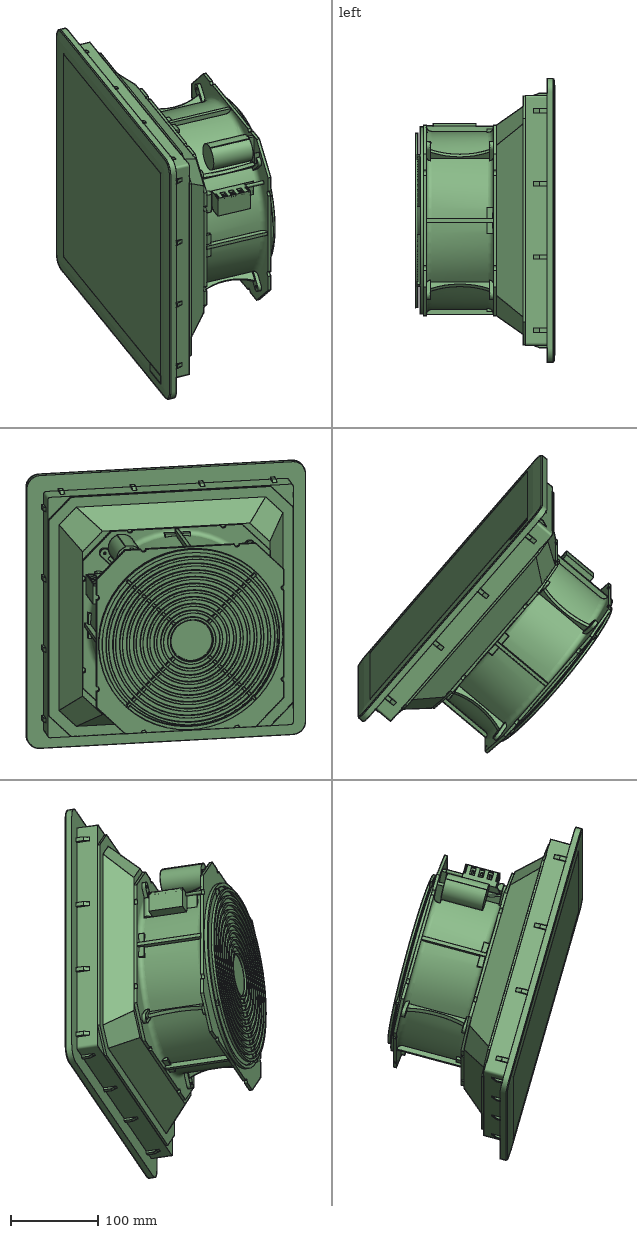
import cadquery as cq
import math


FLANGE_SIZE = 325.0
FLANGE_RADIUS = 15.0
FLANGE_BACK = 9.4
FLANGE_EDGE = 1.2
BEVEL_RISE = 1.2
FACE_SIZE = 298.0
FACE_RADIUS = 1.0
BOX_SIZE = 286.4
BOX_RADIUS = 3.0
BOX_BACK = 34.2
RIM_SIZE = 285.0
RIM_CHAMFER = 26.0
RIM_BACK = 36.8
FUNNEL_BASE_SIZE = 261.0
FUNNEL_BASE_CHAMFER = 20.0
FUNNEL_TOP_CHAMFER = 23.3

CLIP_WIDTH = 4.9
CLIP_HEIGHT = 2.6
CLIP_SHOULDER = 18.0
CLIP_END = 24.7
CLIP_ROOT = 1.0
CLIP_X = (-123.8, -39.7, 39.7, 123.8)
CLIP_Z = (-125.6, -41.9, 41.9, 125.6)

PANEL_SIZE_X = 277.4
PANEL_SIZE_Z = 275.4
PANEL_DEPTH = 5.0
RECESS_SIZE_X = 30.7
RECESS_SIZE_Z = 10.8
RECESS_DEPTH = 0.5

PLATE_SIZE = 218.4
PLATE_CHAMFER = 33.0
PLATE_THICKNESS = 3.5
FRONT_PLATE = 67.2
REAR_PLATE = 147.4
FAN_FRONT = FRONT_PLATE + PLATE_THICKNESS
FAN_BACK = REAR_PLATE + PLATE_THICKNESS
BARREL_RADIUS = 102.0
FLARE_RADIUS = 6.0
OVERLAP = 5.0
RIB_WIDTH = 4.2
RIB_REACH = 107.8
WEB_REACH = 115.0
WEB_WAIST = 105.0
LUG_CENTRE = 119.9
LUG_RADIUS = 5.5
LUG_THICKNESS = 4.4
LUG_HOLE = 3.0
NOTCH_PLACE = 54.5
NOTCH_DIAMETER = 6.0
PAD_WIDTH = 29.6
PAD_DEPTH = 7.1
PAD_REACH = 104.5

CAP_RADIUS = 15.5
CAP_X = 68.4
CAP_Z = 95.6
CAP_FRONT = 90.5
CAP_BACK = 139.6
SEAM_WIDTH = 5.2
SEAM_TOP = CAP_Z + CAP_RADIUS
CHEEK_LEFT = 46.4
CHEEK_BOTTOM = 85.0
CHEEK_TOP_LEFT = 65.0
CHEEK_TOP = 108.5
FOOT_LEFT = 73.6
FOOT_RIGHT = 84.5
FOOT_TOP = 97.0
FOOT_SLOPE = 15.0
FOOT_DEPTH = 6.0

BLOCK_LEFT = 91.0
BLOCK_RIGHT = 108.5
BLOCK_BOTTOM = 40.0
BLOCK_TOP = 64.0
BLOCK_FRONT = 84.9
BLOCK_BACK = 125.4
POCKET_SIZE_X = 8.5
POCKET_SIZE_Y = 5.5
POCKET_PITCH = 10.3
POCKET_DEPTH = 3.0
POCKET_MARGIN = 1.5
SCREW_SLOT_X = 3.6
SCREW_SLOT_Y = 2.3
SCREW_SLOT_DEPTH = 8.0
END_GROOVE = 1.0
END_GROOVE_INSET = 1.2
BRACKET_LEFT = 86.5
BRACKET_FRONT = 80.0
BRACKET_BACK = 137.0
BRACKET_FALL = 8.0
GROMMET_X = 93.0
GROMMET_Y = 78.8
GROMMET_RADIUS = 4.5
CABLE_RADIUS = 2.0
CABLE_Z = 62.0
CABLE_X = 95.0

GUARD_BACK = 160.17
WIRE = 3.0
GUARD_RADIUS = 100.0
RING_PITCH = 8.0
RING_COUNT = 10
BASE_WIRE = 3.8
BASE_RADIUS = 107.3
SPOKE_WIDTH = 3.0
SPOKE_FRONT = 154.0
SPOKE_BACK = 158.0
GUARD_HUB_RADIUS = 24.0


def plane_at(y):
    """XZ plane at height y whose normal points to +Y; local x is -X."""
    return cq.Workplane(cq.Plane((0, y, 0), (-1, 0, 0), (0, 1, 0)))


def square_prism(size, front, back, chamfer=0.0, radius=0.0):
    prism = plane_at(front).rect(size, size).extrude(back - front)
    if chamfer:
        prism = prism.edges("|Y").chamfer(chamfer)
    if radius:
        prism = prism.edges("|Y").fillet(radius)
    return prism


def disc(radius, front, back, x=0.0, z=0.0):
    return plane_at(front).center(-x, z).circle(radius).extrude(back - front)


def block(x0, x1, y0, y1, z0, z1):
    return cq.Workplane("XY").box(x1 - x0, y1 - y0, z1 - z0, centered=False).translate((x0, y0, z0))


def octagon(size, chamfer):
    half = size / 2
    flat = half - chamfer
    return [(half, -flat), (half, flat), (flat, half), (-flat, half),
            (-half, flat), (-half, -flat), (-flat, -half), (flat, -half)]


def turned(shape, angle):
    return shape.rotate((0, 0, 0), (0, 1, 0), angle)


def make_flange():
    body = square_prism(FLANGE_SIZE, BEVEL_RISE, FLANGE_BACK, radius=FLANGE_RADIUS)
    body = body.faces("<Y").edges().chamfer(FLANGE_EDGE)
    inner = FLANGE_SIZE - 2 * FLANGE_EDGE
    bevel = (
        plane_at(BEVEL_RISE)
        .placeSketch(
            cq.Sketch().rect(inner, inner).vertices().fillet(FLANGE_RADIUS - FLANGE_EDGE),
            cq.Sketch().rect(FACE_SIZE, FACE_SIZE).vertices().fillet(FACE_RADIUS)
            .moved(cq.Location(cq.Vector(0, 0, -BEVEL_RISE))),
        )
        .loft()
    )
    return body.union(bevel)


def make_funnel():
    return (
        plane_at(RIM_BACK).polyline(octagon(FUNNEL_BASE_SIZE, FUNNEL_BASE_CHAMFER)).close()
        .workplane(offset=FRONT_PLATE - RIM_BACK)
        .polyline(octagon(PLATE_SIZE, FUNNEL_TOP_CHAMFER)).close()
        .loft(ruled=True)
    )


def make_clip(place):
    """A clip on the top wall at X = place."""
    wall = BOX_SIZE / 2
    root = wall - CLIP_ROOT
    outline = [(FLANGE_BACK, root), (FLANGE_BACK, wall + CLIP_HEIGHT),
               (CLIP_SHOULDER, wall + CLIP_HEIGHT), (CLIP_END, wall), (CLIP_END, root)]
    clip = cq.Workplane("YZ").polyline(outline).close().extrude(CLIP_WIDTH / 2, both=True)
    return clip.translate((place, 0, 0))


def panel_block():
    return block(-PANEL_SIZE_X / 2, PANEL_SIZE_X / 2, 0, PANEL_DEPTH, -PANEL_SIZE_Z / 2, PANEL_SIZE_Z / 2)


def make_housing():
    body = make_flange()
    body = body.union(square_prism(BOX_SIZE, FLANGE_BACK, BOX_BACK, radius=BOX_RADIUS))
    body = body.union(square_prism(RIM_SIZE, BOX_BACK, RIM_BACK, chamfer=RIM_CHAMFER))
    body = body.union(make_funnel())
    for x in CLIP_X:
        body = body.union(make_clip(x)).union(turned(make_clip(x), 180))
    for z in CLIP_Z:
        body = body.union(turned(make_clip(z), 90)).union(turned(make_clip(z), -90))
    right = PANEL_SIZE_X / 2
    bottom = -PANEL_SIZE_Z / 2
    recess = block(right - RECESS_SIZE_X, right, 0, RECESS_DEPTH, bottom - RECESS_SIZE_Z, bottom)
    return body.cut(panel_block()).cut(recess)


def make_plate(front):
    plate = square_prism(PLATE_SIZE, front, front + PLATE_THICKNESS, chamfer=PLATE_CHAMFER)
    for quarter in range(4):
        for side in (-1, 1):
            notch = disc(NOTCH_DIAMETER / 2, front, front + PLATE_THICKNESS,
                         side * NOTCH_PLACE, PLATE_SIZE / 2)
            plate = plate.cut(turned(notch, 90 * quarter))
    return plate


def make_barrel():
    outer = BARREL_RADIUS + FLARE_RADIUS
    bend = FLARE_RADIUS * (1 - math.sqrt(0.5))
    profile = (
        cq.Workplane("XY").moveTo(0, FAN_FRONT).lineTo(outer, FAN_FRONT)
        .threePointArc((BARREL_RADIUS + bend, FAN_FRONT + bend), (BARREL_RADIUS, FAN_FRONT + FLARE_RADIUS))
        .lineTo(BARREL_RADIUS, REAR_PLATE - FLARE_RADIUS)
        .threePointArc((BARREL_RADIUS + bend, REAR_PLATE - bend), (outer, REAR_PLATE))
        .lineTo(0, REAR_PLATE).close()
    )
    return profile.revolve(360, (0, 0, 0), (0, 1, 0))


def make_rib():
    half = RIB_WIDTH / 2
    return block(-half, half, FAN_FRONT, REAR_PLATE, BARREL_RADIUS - OVERLAP, RIB_REACH)


def make_lug(front):
    half = LUG_RADIUS
    lug = block(-half, half, front, front + LUG_THICKNESS, BARREL_RADIUS - OVERLAP, LUG_CENTRE)
    lug = lug.union(disc(LUG_RADIUS, front, front + LUG_THICKNESS, 0, LUG_CENTRE))
    return lug.cut(disc(LUG_HOLE / 2, front, front + LUG_THICKNESS, 0, LUG_CENTRE))


def make_web():
    inner = BARREL_RADIUS - OVERLAP
    middle = (FAN_FRONT + REAR_PLATE) / 2
    web = (
        cq.Workplane("YZ").moveTo(FAN_FRONT, inner).lineTo(FAN_FRONT, WEB_REACH)
        .threePointArc((middle, WEB_WAIST), (REAR_PLATE, WEB_REACH))
        .lineTo(REAR_PLATE, inner).close().extrude(RIB_WIDTH / 2, both=True)
    )
    return web.union(make_lug(FAN_FRONT)).union(make_lug(REAR_PLATE - LUG_THICKNESS))


def make_pad():
    half = PAD_WIDTH / 2
    return block(-half, half, FAN_FRONT, FAN_FRONT + PAD_DEPTH, BARREL_RADIUS - OVERLAP, PAD_REACH)


def make_cap_holder():
    cheek = (
        plane_at(CAP_BACK)
        .polyline([(-CHEEK_LEFT, CHEEK_BOTTOM), (-CHEEK_TOP_LEFT, CHEEK_TOP),
                   (-CAP_X, CHEEK_TOP), (-CAP_X, CHEEK_BOTTOM - OVERLAP)])
        .close().extrude(REAR_PLATE - CAP_BACK)
    )
    foot = (
        plane_at(REAR_PLATE - FOOT_DEPTH)
        .polyline([(-FOOT_LEFT, FOOT_TOP - FOOT_SLOPE), (-FOOT_RIGHT, FOOT_TOP),
                   (-FOOT_RIGHT, FOOT_TOP - FOOT_SLOPE)])
        .close().extrude(FOOT_DEPTH)
    )
    return cheek.union(foot)


def make_fan():
    fan = make_plate(FRONT_PLATE).union(make_plate(REAR_PLATE)).union(make_barrel())
    for quarter in range(4):
        fan = fan.union(turned(make_rib(), 90 * quarter))
        fan = fan.union(turned(make_pad(), 90 * quarter))
        fan = fan.union(turned(make_web(), 45 + 90 * quarter))
    return fan.union(make_cap_holder())


def make_capacitor():
    can = disc(CAP_RADIUS, CAP_FRONT, CAP_BACK, CAP_X, CAP_Z)
    seam = block(CAP_X, CAP_X + SEAM_WIDTH, CAP_FRONT, CAP_BACK, CAP_Z, SEAM_TOP)
    barrel = disc(BARREL_RADIUS, CAP_FRONT, CAP_BACK)
    return can.union(seam).cut(barrel)


def make_cable():
    return disc(CABLE_RADIUS, BLOCK_BACK, REAR_PLATE, CABLE_X, CABLE_Z)


def make_terminal_block():
    body = block(BLOCK_LEFT, BLOCK_RIGHT, BLOCK_FRONT, BLOCK_BACK, BLOCK_BOTTOM, BLOCK_TOP)
    middle = (BLOCK_FRONT + BLOCK_BACK) / 2
    pocket_right = BLOCK_RIGHT - POCKET_MARGIN
    pocket_left = pocket_right - POCKET_SIZE_X
    pocket_x = (pocket_left + pocket_right) / 2
    pocket_floor = BLOCK_TOP - POCKET_DEPTH
    for step in (-1, 0, 1):
        y = middle + step * POCKET_PITCH
        body = body.cut(block(pocket_left, pocket_right, y - POCKET_SIZE_Y / 2, y + POCKET_SIZE_Y / 2,
                              pocket_floor, BLOCK_TOP))
        body = body.cut(block(pocket_x - SCREW_SLOT_X / 2, pocket_x + SCREW_SLOT_X / 2,
                              y - SCREW_SLOT_Y / 2, y + SCREW_SLOT_Y / 2,
                              BLOCK_TOP - SCREW_SLOT_DEPTH, BLOCK_TOP))
    for groove_front in (BLOCK_FRONT + END_GROOVE_INSET, BLOCK_BACK - END_GROOVE_INSET - END_GROOVE):
        body = body.cut(block(pocket_left, pocket_right, groove_front, groove_front + END_GROOVE,
                              pocket_floor, BLOCK_TOP))
    bracket = (
        plane_at(BRACKET_FRONT)
        .polyline([(-BRACKET_LEFT, BLOCK_BOTTOM), (-BRACKET_LEFT, BLOCK_TOP - BRACKET_FALL),
                   (-BLOCK_LEFT, BLOCK_TOP), (-BLOCK_LEFT, BLOCK_BOTTOM)])
        .close().extrude(BRACKET_BACK - BRACKET_FRONT)
    )
    grommet = (
        cq.Workplane("XY").workplane(offset=BLOCK_BOTTOM).center(GROMMET_X, GROMMET_Y)
        .circle(GROMMET_RADIUS).extrude(BLOCK_TOP - BLOCK_BOTTOM)
    )
    return body.union(bracket).union(grommet).union(make_cable()).cut(make_barrel())


def make_ring(outer_radius, wire, back):
    """A ring around the fan axis that ends at Y = back."""
    return disc(outer_radius, back - wire, back).cut(disc(outer_radius - wire, back - wire, back))


def make_guard():
    guard = disc(GUARD_HUB_RADIUS, SPOKE_FRONT, SPOKE_BACK)
    spoke_end = BASE_RADIUS - BASE_WIRE / 2
    spoke = block(-SPOKE_WIDTH / 2, SPOKE_WIDTH / 2, SPOKE_FRONT, SPOKE_BACK, 0, spoke_end)
    for quarter in range(4):
        guard = guard.union(turned(spoke, 45 + 90 * quarter))
    for index in range(RING_COUNT):
        guard = guard.union(make_ring(GUARD_RADIUS - index * RING_PITCH, WIRE, GUARD_BACK))
    return guard.union(make_ring(BASE_RADIUS, BASE_WIRE, FAN_BACK + BASE_WIRE))


housing = make_housing()
panel = panel_block()
fan = make_fan()
capacitor = make_capacitor()
terminal_block = make_terminal_block()
guard = make_guard()

result = cq.Compound.makeCompound([
    housing.val(), panel.val(), fan.val(), capacitor.val(), terminal_block.val(), guard.val(),
])